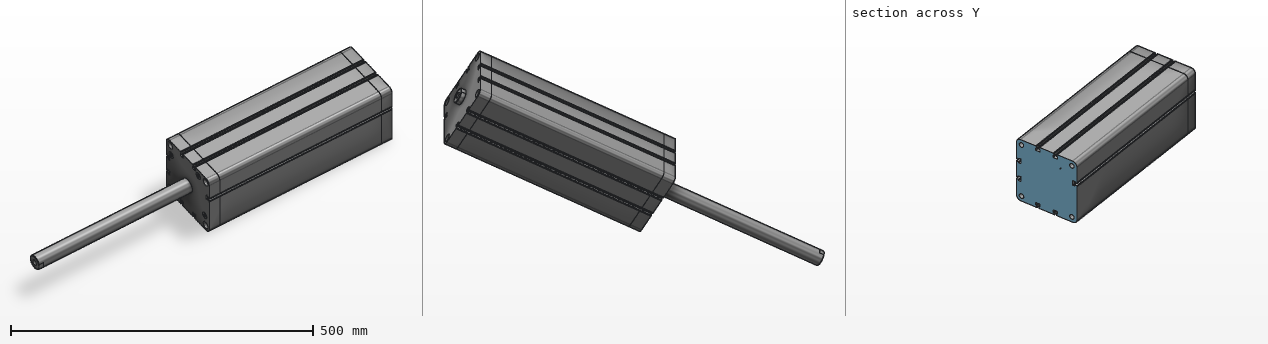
import cadquery as cq

LENGTH = 686.5
BODY_WIDTH = 124.0
CORNER_RADIUS = 9.0
ROD_EXTENSION = 309.0
STUB_LENGTH = 9.0

COVER_LENGTH = 21.0
HAIRLINE = 0.15

SLOT_OFFSET = 18.0
SLOT_NECK_WIDTH = 4.0
SLOT_HEAD_WIDTH = 8.0
SLOT_NECK_DEPTH = 5.0
SLOT_DEPTH = 9.0

ROD_DIAMETER = 27.0
ROD_CHAMFER = 1.0
ROD_FLATS = 25.0
FLAT_LENGTH = STUB_LENGTH
ROD_HOLE_DIAMETER = 10.0
ROD_HOLE_DEPTH = 20.5
DRILL_TIP_LENGTH = 3.0

TIE_OFFSET = 51.5
TIE_HOLE_DIAMETER = 8.0
TIE_BORE_DIAMETER = 14.0
TIE_BORE_DEPTH = 14.0

SCREW_NEAR = 30.0
SCREW_FAR = 49.0
SCREW_DIAMETER = 12.5
SOCKET_ACROSS_CORNERS = 5.5
SOCKET_TURN = 30
SOCKET_DEPTH = 3.5

TIP_Y = -LENGTH / 2
STUB_END_Y = LENGTH / 2
FRONT_Y = TIP_Y + ROD_EXTENSION
REAR_Y = STUB_END_Y - STUB_LENGTH
BODY_LENGTH = REAR_Y - FRONT_Y

TIE_POINTS = [(x, z) for x in (-TIE_OFFSET, TIE_OFFSET) for z in (-TIE_OFFSET, TIE_OFFSET)]
SCREW_POINTS = [
    (SCREW_NEAR, SCREW_FAR),
    (-SCREW_FAR, SCREW_NEAR),
    (-SCREW_NEAR, -SCREW_FAR),
    (SCREW_FAR, -SCREW_NEAR),
]


def section(y):
    """Plane across the part at y with local axes X and Z; a negative extrusion goes toward +Y."""
    return cq.Workplane("XZ", origin=(0, y, 0))


def square_block(width, y, length):
    """Rounded square bar starting at y."""
    return section(y).rect(width, width).extrude(-length).edges("|Y").fillet(CORNER_RADIUS)


def cylinders(points, diameter, y, length):
    """Equal cylinders along +Y, starting at y."""
    return section(y).pushPoints(points).circle(diameter / 2).extrude(-length)


def t_slot(offset, angle):
    """Full-length T-slot with a hairline step at its mouth, turned about Y from the top face."""
    top = BODY_WIDTH / 2
    shoulder = top - SLOT_NECK_DEPTH
    floor = top - SLOT_DEPTH
    half_neck = SLOT_NECK_WIDTH / 2
    half_head = SLOT_HEAD_WIDTH / 2
    step = top - HAIRLINE
    profile = [
        (offset - half_head, top),
        (offset - half_head, step),
        (offset - half_neck, step),
        (offset - half_neck, shoulder),
        (offset - half_head, shoulder),
        (offset - half_head, floor),
        (offset + half_head, floor),
        (offset + half_head, shoulder),
        (offset + half_neck, shoulder),
        (offset + half_neck, step),
        (offset + half_head, step),
        (offset + half_head, top),
    ]
    slot = section(FRONT_Y).polyline(profile).close().extrude(-BODY_LENGTH)
    return slot.rotate((0, 0, 0), (0, 1, 0), angle)


def cover_joint(y):
    """Hairline groove around the body."""
    outer = section(y).rect(BODY_WIDTH, BODY_WIDTH).extrude(-HAIRLINE)
    return outer.cut(square_block(BODY_WIDTH - 2 * HAIRLINE, y, HAIRLINE))


def make_body():
    body = square_block(BODY_WIDTH, FRONT_Y, BODY_LENGTH)
    for offset in (-SLOT_OFFSET, SLOT_OFFSET):
        for angle in (0, 180, -90):
            body = body.cut(t_slot(offset, angle))
    body = body.cut(t_slot(-SLOT_OFFSET, 90))
    for y in (FRONT_Y + COVER_LENGTH, REAR_Y - COVER_LENGTH):
        body = body.cut(cover_joint(y))
    return body


def cut_tie_holes(body):
    body = body.cut(cylinders(TIE_POINTS, TIE_HOLE_DIAMETER, FRONT_Y, BODY_LENGTH))
    for y in (FRONT_Y, REAR_Y - TIE_BORE_DEPTH):
        body = body.cut(cylinders(TIE_POINTS, TIE_BORE_DIAMETER, y, TIE_BORE_DEPTH))
    return body


def cut_screws(body):
    heads = cylinders(SCREW_POINTS, SCREW_DIAMETER, FRONT_Y, HAIRLINE)
    hexagons = cq.Sketch().push(SCREW_POINTS).regularPolygon(SOCKET_ACROSS_CORNERS / 2, 6, SOCKET_TURN)
    sockets = section(FRONT_Y).placeSketch(hexagons).extrude(-SOCKET_DEPTH)
    return body.cut(heads).cut(sockets)


def end_hole():
    """Drilled hole with a conical bottom in the rod tip."""
    radius = ROD_HOLE_DIAMETER / 2
    profile = [(0, 0), (radius, 0), (radius, ROD_HOLE_DEPTH), (0, ROD_HOLE_DEPTH + DRILL_TIP_LENGTH)]
    half_section = cq.Workplane("XY", origin=(0, TIP_Y, 0)).polyline(profile).close()
    return half_section.revolve(360, (0, 0), (0, 1))


def make_rod():
    rod = section(TIP_Y).circle(ROD_DIAMETER / 2).extrude(-LENGTH)
    rod = rod.faces("<Y or >Y").chamfer(ROD_CHAMFER)
    for y in (TIP_Y, STUB_END_Y - FLAT_LENGTH):
        full_end = section(y).rect(ROD_DIAMETER, ROD_DIAMETER).extrude(-FLAT_LENGTH)
        flat_end = section(y).rect(ROD_FLATS, ROD_DIAMETER).extrude(-FLAT_LENGTH)
        rod = rod.cut(full_end.cut(flat_end))
    return rod.cut(end_hole()).cut(end_hole().mirror("XZ"))


result = cut_screws(cut_tie_holes(make_body())).union(make_rod())